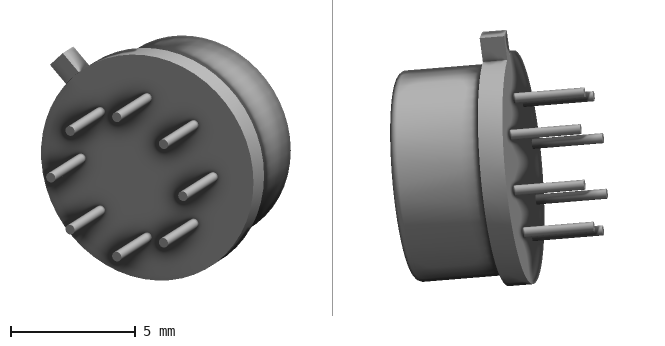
import cadquery as cq
import math

flange_diameter = 9.4
flange_thickness = 1.0
can_diameter = 8.5
housing_height = 4.7
edge_radius = 0.3

pin_count = 8
pin_diameter = 0.4
pin_length = 2.87
pin_circle_radius = 2.92

tab_width = 0.8
tab_reach = 5.69
tab_angle = 135.0

flange_radius = flange_diameter / 2
can_radius = can_diameter / 2


def underside_plane():
    """Plane of the flange underside, with local X, Y along X, -Z and its normal along +Y."""
    return cq.Workplane(cq.Plane(origin=(0, 0, 0), xDir=(1, 0, 0), normal=(0, 1, 0)))


def make_can_and_flange():
    """Revolve the half profile (radius, height) about the Y axis."""
    diagonal = edge_radius * math.sqrt(0.5)
    foot_radius = can_radius + edge_radius
    foot_height = flange_thickness + edge_radius
    rim_radius = can_radius - edge_radius
    rim_height = housing_height - edge_radius
    profile = (
        cq.Workplane("XY")
        .lineTo(flange_radius, 0)
        .lineTo(flange_radius, flange_thickness)
        .lineTo(foot_radius, flange_thickness)
        .threePointArc((foot_radius - diagonal, foot_height - diagonal), (can_radius, foot_height))
        .lineTo(can_radius, rim_height)
        .threePointArc((rim_radius + diagonal, rim_height + diagonal), (rim_radius, housing_height))
        .lineTo(0, housing_height)
        .close()
    )
    return profile.revolve(360, (0, 0), (0, 1))


def make_pins():
    """Ring of pins that stand out from the flange underside toward -Y."""
    return (
        underside_plane()
        .polarArray(pin_circle_radius, 0, 360, pin_count)
        .circle(pin_diameter / 2)
        .extrude(-pin_length)
    )


def make_housing():
    """Can, flange and pins as one solid."""
    return make_can_and_flange().union(make_pins())


def make_tab():
    """Bar as thick as the flange, with its inner end shaped to the flange rim."""
    bar = cq.Workplane("XY").box(tab_reach, flange_thickness, tab_width, centered=(False, False, True))
    bar = bar.rotate((0, 0, 0), (0, 1, 0), -tab_angle)
    flange_disc = underside_plane().circle(flange_radius).extrude(flange_thickness)
    return bar.cut(flange_disc)


housing = make_housing()
tab = make_tab()

result = cq.Compound.makeCompound([housing.solids().val(), tab.solids().val()])